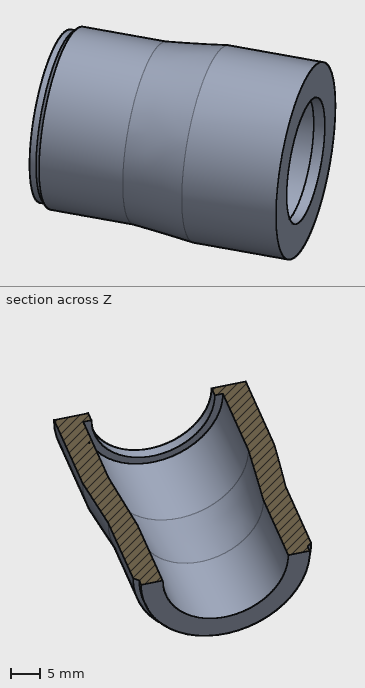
import cadquery as cq


LENGTH = 45.0
NECK_END = 1.2
CHAMFER_END = 2.0
SPIGOT_END = 17.0
BODY_LENGTH = 17.0
BODY_START = LENGTH - BODY_LENGTH

NECK_DIAMETER = 30.33
SPIGOT_DIAMETER = 32.0
BODY_DIAMETER = 34.5

BORE_LENGTH = 14.88
LIP_THICKNESS = 2.0
CHAMBER_START = BODY_START
LIP_START = LENGTH - LIP_THICKNESS

BORE_DIAMETER = 22.5
CHAMBER_DIAMETER = 25.0
LIP_DIAMETER = 22.1


def revolve_about_x(stations):
    """Revolve a profile given as (axial position, diameter) pairs into a solid."""
    first_x = stations[0][0]
    last_x = stations[-1][0]
    points = [(x, diameter / 2) for x, diameter in stations]
    half_section = [(first_x, 0)] + points + [(last_x, 0)]
    profile = cq.Workplane("XY").polyline(half_section).close()
    return profile.revolve(360, (0, 0, 0), (1, 0, 0))


def make_outside():
    """Neck, chamfered spigot, cone and larger body."""
    return revolve_about_x([
        (0, NECK_DIAMETER),
        (NECK_END, NECK_DIAMETER),
        (CHAMFER_END, SPIGOT_DIAMETER),
        (SPIGOT_END, SPIGOT_DIAMETER),
        (BODY_START, BODY_DIAMETER),
        (LENGTH, BODY_DIAMETER),
    ])


def make_passage():
    """Spigot bore widening to the chamber, with a narrower hole through the end lip."""
    return revolve_about_x([
        (0, BORE_DIAMETER),
        (BORE_LENGTH, BORE_DIAMETER),
        (CHAMBER_START, CHAMBER_DIAMETER),
        (LIP_START, CHAMBER_DIAMETER),
        (LIP_START, LIP_DIAMETER),
        (LENGTH, LIP_DIAMETER),
    ])


result = make_outside().cut(make_passage())